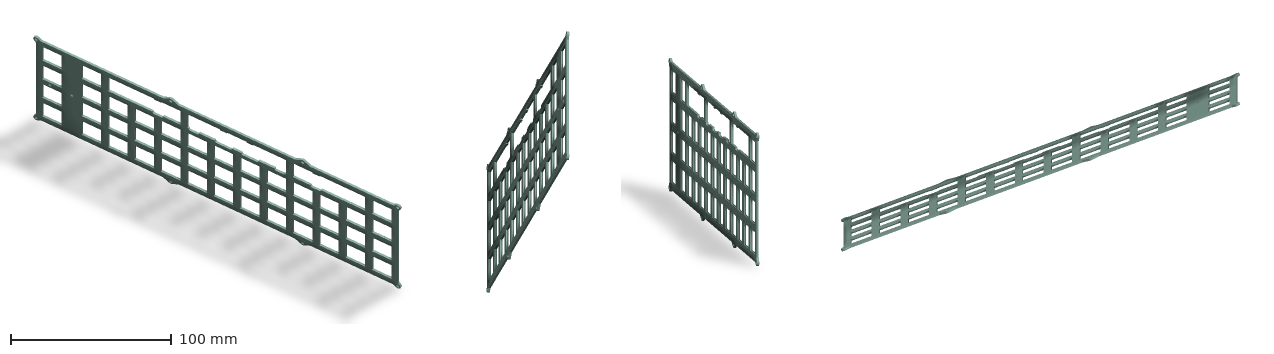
import cadquery as cq
import math

length = 265.2
height = 86.5
thickness = 1.5

hole_diameter = 2.2
lug_radius = 2.0
corner_flank = 3.5
edge_flank = 5.5

plate_length = 261.5
plate_height = 80.5

column_count = 12
row_count = 4
outer_column_x = 119.0
separate_column_gap = 1.5
key_pitch = 2 * outer_column_x / (column_count - 1 + separate_column_gap)
web_width = 5.0
key_size = key_pitch - web_width
main_left_x = outer_column_x - (column_count - 1) * key_pitch
top_row = row_count - 1
block_middle = (column_count - 1) / 2

long_openings = [(1, 3), (4, 7), (8, 10)]

notch_width = 7.7
notch_depth = 1.5
notch_radius = 1.3
notch_offsets = [7.2, 12.0, 31.0, 57.0]

tab_depth = 0.8
tab_columns = [2.5, 5, 6, 8.5]

small_hole_xs = [-120.7, -104.7]

edge_lug_columns = [3, 8]
edge_lug_z = height / 2 - lug_radius

corner_lug_x = length / 2 - lug_radius
corner_inset = plate_length / 2 - corner_lug_x
corner_lug_z = plate_height / 2 - corner_inset


def column_x(column):
    return main_left_x + column * key_pitch


def row_z(row):
    return (row - (row_count - 1) / 2) * key_pitch


def front_plane(x=0, z=0):
    return cq.Workplane("XZ", origin=(x, 0, z))


def block(x, z, width, tall):
    return front_plane(x, z).rect(width, tall).extrude(thickness / 2, both=True)


def pin(x, z, radius):
    return front_plane(x, z).circle(radius).extrude(thickness / 2, both=True)


def tangent_point(base, centre, side):
    """Point where the line from base touches the lug circle, on the side given by +1 or -1."""
    dx = centre[0] - base[0]
    dz = centre[1] - base[1]
    distance = math.hypot(dx, dz)
    angle = math.atan2(dz, dx) + side * math.asin(lug_radius / distance)
    reach = math.sqrt(distance**2 - lug_radius**2)
    return (base[0] + reach * math.cos(angle), base[1] + reach * math.sin(angle))


def lug(centre, first_base, second_base, side):
    """Round lug with a straight tangent flank running to each base point."""
    outline = [
        first_base,
        tangent_point(first_base, centre, side),
        tangent_point(second_base, centre, -side),
        second_base,
    ]
    flanks = front_plane().polyline(outline).close().extrude(thickness / 2, both=True)
    return pin(*centre, lug_radius).union(flanks)


def corner_lug(x_sign, z_sign):
    x = x_sign * plate_length / 2
    z = z_sign * plate_height / 2
    along_x = (x - x_sign * corner_flank, z)
    along_z = (x, z - z_sign * corner_flank)
    centre = (x_sign * corner_lug_x, z_sign * corner_lug_z)
    return lug(centre, along_x, along_z, x_sign * z_sign)


def edge_lug(x, z_sign):
    edge_z = z_sign * plate_height / 2
    left_base = (x - edge_flank, edge_z)
    right_base = (x + edge_flank, edge_z)
    return lug((x, z_sign * edge_lug_z), left_base, right_base, z_sign)


def key_opening(x, row):
    return block(x, row_z(row), key_size, key_size)


def long_opening(first, last):
    x = (column_x(first) + column_x(last)) / 2
    width = (last - first) * key_pitch + key_size
    return block(x, row_z(top_row), width, key_size)


def notch(x):
    """Slot reaching below the top row, with rounded lower corners."""
    bottom = row_z(top_row) - key_size / 2 - notch_depth
    tall = row_z(top_row) - bottom
    slot = block(x, bottom + tall / 2, notch_width, tall)
    return slot.edges("|Y and <Z").fillet(notch_radius)


def tab(x):
    return block(x, row_z(top_row) + (key_size - tab_depth) / 2, web_width, tab_depth)


result = block(0, 0, plate_length, plate_height)
hole_centres = [(x, 0) for x in small_hole_xs]
for z_sign in (1, -1):
    for x_sign in (1, -1):
        result = result.union(corner_lug(x_sign, z_sign))
        hole_centres.append((x_sign * corner_lug_x, z_sign * corner_lug_z))
    for column in edge_lug_columns:
        result = result.union(edge_lug(column_x(column), z_sign))
        hole_centres.append((column_x(column), z_sign * edge_lug_z))

for row in range(row_count):
    result = result.cut(key_opening(-outer_column_x, row))
    main_columns = (0, column_count - 1) if row == top_row else range(column_count)
    for column in main_columns:
        result = result.cut(key_opening(column_x(column), row))

for first, last in long_openings:
    result = result.cut(long_opening(first, last))
for offset in notch_offsets:
    for sign in (1, -1):
        result = result.cut(notch(column_x(block_middle) + sign * offset))
for column in tab_columns:
    result = result.union(tab(column_x(column)))

for x, z in hole_centres:
    result = result.cut(pin(x, z, hole_diameter / 2))